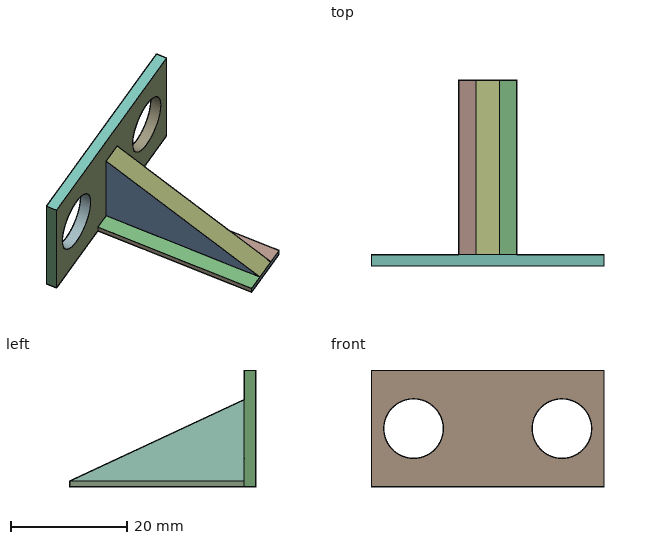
import cadquery as cq

plate_width = 40.0
plate_thickness = 2.0
plate_height = 20.0

hole_diameter = 10.2
hole_spacing = 25.5

tongue_width = 10.0
tongue_length = 30.0
tongue_thickness = 1.0

rib_width = 4.0
rib_top = 15.0


def make_plate():
    """Upright plate standing on Z = 0 with its front face on Y = 0."""
    plate = cq.Workplane("XY").box(
        plate_width, plate_thickness, plate_height, centered=(True, False, False)
    )
    holes = (
        cq.Workplane("XZ")
        .pushPoints([(side * hole_spacing / 2, plate_height / 2) for side in (-1, 1)])
        .circle(hole_diameter / 2)
        .extrude(-plate_thickness)
    )
    return plate.cut(holes)


def make_tongue():
    """Flat strip running back from the plate, flush with its bottom edge."""
    return (
        cq.Workplane("XY")
        .box(tongue_width, tongue_length, tongue_thickness, centered=(True, False, False))
        .translate((0, plate_thickness, 0))
    )


def make_rib():
    """Central rib sloping from the plate down to the top edge of the tongue's end."""
    tongue_end = plate_thickness + tongue_length
    return (
        cq.Workplane("YZ")
        .moveTo(plate_thickness, 0)
        .lineTo(tongue_end, 0)
        .lineTo(tongue_end, tongue_thickness)
        .lineTo(plate_thickness, rib_top)
        .close()
        .extrude(rib_width / 2, both=True)
    )


result = make_plate().union(make_tongue()).union(make_rib())